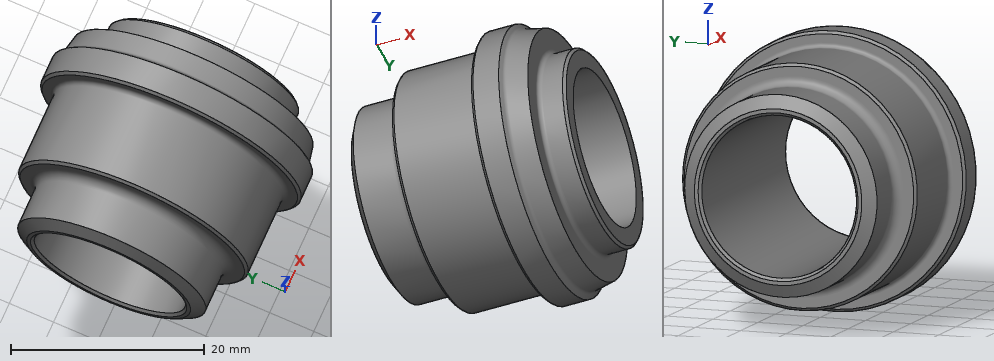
import cadquery as cq
import math

body_start = 6.02
collar_start = 15.58
collar_rim_end = 18.73
cone_start = 19.32
cone_end = 21.5
length = 24.5

bore_radius = 17.1 / 2
neck_radius = 21.3 / 2
body_radius = 26.0 / 2
collar_radius = 29.5 / 2
spigot_radius = 21.5 / 2
cone_large_radius = 14.05

edge_chamfer = 0.3
bore_chamfer = 0.3
weld_bevel_length = 0.8
weld_bevel_depth = weld_bevel_length * math.tan(math.radians(60))
neck_fillet = 0.97
step_fillet = 0.5
cone_angle = 12
relief_angle = 60

cone_drop = (cone_end - cone_start) * math.tan(math.radians(cone_angle))
cone_small_radius = cone_large_radius - cone_drop

flank_slope = math.tan(math.radians(relief_angle))
cone_slope = math.tan(math.radians(cone_angle))
rim_to_cone = cone_start - collar_rim_end
corner_offset = (collar_radius - cone_large_radius - cone_slope * rim_to_cone) / (flank_slope - cone_slope)
corner_x = collar_rim_end + corner_offset
corner_radius = collar_radius - flank_slope * corner_offset
tangent_length = math.hypot(cone_start - corner_x, corner_radius - cone_large_radius)
flank_end = (
    corner_x - tangent_length * math.cos(math.radians(relief_angle)),
    corner_radius + tangent_length * math.sin(math.radians(relief_angle)),
)


def inside_fillet(profile, x, radius, size, rising):
    """Round an inside corner: rising leaves a cylinder for a face, falling does the reverse."""
    side = -1 if rising else 1
    diagonal = size * (1 - math.sqrt(0.5))
    on_cylinder = (x + side * size, radius)
    on_face = (x, radius + size)
    middle = (x + side * diagonal, radius + diagonal)
    start, end = (on_cylinder, on_face) if rising else (on_face, on_cylinder)
    return profile.lineTo(*start).threePointArc(middle, end)


profile = cq.Workplane("XY").moveTo(bore_chamfer, bore_radius)
profile = profile.lineTo(0, bore_radius + bore_chamfer)
profile = profile.lineTo(0, neck_radius - weld_bevel_depth)
profile = profile.lineTo(weld_bevel_length, neck_radius)
profile = inside_fillet(profile, body_start, neck_radius, neck_fillet, rising=True)

profile = profile.lineTo(body_start, body_radius - edge_chamfer)
profile = profile.lineTo(body_start + edge_chamfer, body_radius)
profile = inside_fillet(profile, collar_start, body_radius, step_fillet, rising=True)

profile = profile.lineTo(collar_start, collar_radius - edge_chamfer)
profile = profile.lineTo(collar_start + edge_chamfer, collar_radius)
profile = profile.lineTo(collar_rim_end, collar_radius)
profile = profile.lineTo(*flank_end)
profile = profile.tangentArcPoint((cone_start, cone_large_radius), relative=False)
profile = profile.lineTo(cone_end, cone_small_radius)

profile = inside_fillet(profile, cone_end, spigot_radius, step_fillet, rising=False)
profile = profile.lineTo(length - edge_chamfer, spigot_radius)
profile = profile.lineTo(length, spigot_radius - edge_chamfer)
profile = profile.lineTo(length, bore_radius)

result = profile.close().revolve(360, (0, 0, 0), (1, 0, 0))